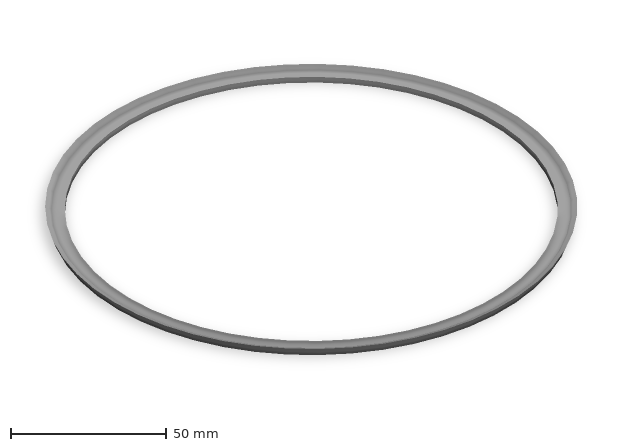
import cadquery as cq

outer_radius = 85.6
lip_inner_radius = 83.6
bottom_radius = 84.5
bore_radius = 79.3

height = 3.0
lip_rise = 0.95
flat_height = height - lip_rise

section = [
    (bore_radius, 0),
    (bottom_radius, 0),
    (outer_radius, height),
    (lip_inner_radius, flat_height),
    (bore_radius, flat_height),
]

result = cq.Workplane("XZ").polyline(section).close().revolve(360, (0, 0), (0, 1))